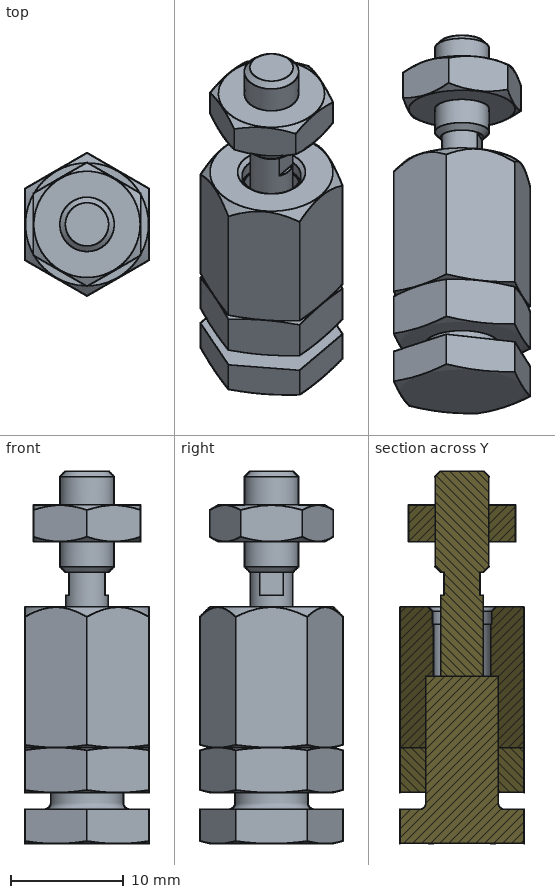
import cadquery as cq
import math


TOTAL_HEIGHT = 33.0
PLUG_HEAD_TOP = 3.07
LOCK_NUT_BOTTOM = 4.52
HOUSING_BOTTOM = 8.5
HOUSING_TOP = 21.0
FLATS_BOTTOM = 22.0
NECK_TOP = 24.02
STUD_NUT_BOTTOM = 26.73
STUD_NUT_TOP = 30.0

BODY_FLATS = 11.0
STUD_NUT_FLATS = 9.5
HEX_FLATS_TO_CORNERS = math.cos(math.pi / 6)
CHAMFER_INSET = 0.1
SHALLOW_ANGLE = 15.0
STUD_NUT_ANGLE = 30.0
HOUSING_TOP_ANGLE = 45.0

STUD_DIAMETER = 4.82
NECK_DIAMETER = 3.8
STUD_TIP_CHAMFER = 0.5
NECK_FLATS_WIDTH = 3.2

MOUTH_DIAMETER = 6.0
UPPER_BORE_DIAMETER = 5.2
LOWER_BORE_DIAMETER = 5.0
STEP_DEPTH = 1.55

PLUG_SHANK_DIAMETER = 6.47
PLUG_ROOT_RADIUS = 0.53
PLUG_TOP = 14.85


def cylinder(diameter, bottom, top):
    return cq.Workplane("XY").workplane(offset=bottom).circle(diameter / 2).extrude(top - bottom)


def corner_cutter(flats, end_level, inward, angle):
    """Ring that turns the corners of a hexagon down to a cone at one end face."""
    face_radius = (flats - CHAMFER_INSET) / 2
    outer_radius = flats
    drop = (outer_radius - face_radius) * math.tan(math.radians(angle))
    return (
        cq.Workplane("XZ")
        .moveTo(face_radius, end_level)
        .lineTo(outer_radius, end_level)
        .lineTo(outer_radius, end_level + inward * drop)
        .close()
        .revolve(360, (0, 0, 0), (0, 1, 0))
    )


def hexagon(flats, bottom, top, bottom_angle=None, top_angle=None):
    """Hexagonal prism, with its corners chamfered at the ends that are given an angle."""
    corner_diameter = flats / HEX_FLATS_TO_CORNERS
    prism = (
        cq.Workplane("XY")
        .workplane(offset=bottom)
        .transformed(rotate=(0, 0, 90))
        .polygon(6, corner_diameter)
        .extrude(top - bottom)
    )
    if bottom_angle is not None:
        prism = prism.cut(corner_cutter(flats, bottom, 1, bottom_angle))
    if top_angle is not None:
        prism = prism.cut(corner_cutter(flats, top, -1, top_angle))
    return prism


def make_plug():
    head = hexagon(BODY_FLATS, 0, PLUG_HEAD_TOP, bottom_angle=SHALLOW_ANGLE)
    shank_radius = PLUG_SHANK_DIAMETER / 2
    root_top = PLUG_HEAD_TOP + PLUG_ROOT_RADIUS
    arc_offset = PLUG_ROOT_RADIUS * (1 - math.sqrt(0.5))
    shank = (
        cq.Workplane("XZ")
        .moveTo(0, PLUG_HEAD_TOP)
        .lineTo(shank_radius + PLUG_ROOT_RADIUS, PLUG_HEAD_TOP)
        .threePointArc(
            (shank_radius + arc_offset, PLUG_HEAD_TOP + arc_offset),
            (shank_radius, root_top),
        )
        .lineTo(shank_radius, PLUG_TOP)
        .lineTo(0, PLUG_TOP)
        .close()
        .revolve(360, (0, 0, 0), (0, 1, 0))
    )
    return head.union(shank)


def make_lock_nut():
    nut = hexagon(BODY_FLATS, LOCK_NUT_BOTTOM, HOUSING_BOTTOM, SHALLOW_ANGLE, SHALLOW_ANGLE)
    return nut.cut(cylinder(PLUG_SHANK_DIAMETER, LOCK_NUT_BOTTOM, HOUSING_BOTTOM))


def make_housing():
    body = hexagon(BODY_FLATS, HOUSING_BOTTOM, HOUSING_TOP, SHALLOW_ANGLE, HOUSING_TOP_ANGLE)
    upper_bore = cylinder(UPPER_BORE_DIAMETER, HOUSING_TOP - STEP_DEPTH, HOUSING_TOP)
    lower_bore = cylinder(LOWER_BORE_DIAMETER, PLUG_TOP, HOUSING_TOP - STEP_DEPTH)
    plug_hole = cylinder(PLUG_SHANK_DIAMETER, HOUSING_BOTTOM, PLUG_TOP)
    mouth_depth = (MOUTH_DIAMETER - UPPER_BORE_DIAMETER) / 2
    mouth = cq.Workplane(
        cq.Solid.makeCone(
            UPPER_BORE_DIAMETER / 2,
            MOUTH_DIAMETER / 2,
            mouth_depth,
            pnt=cq.Vector(0, 0, HOUSING_TOP - mouth_depth),
        )
    )
    return body.cut(upper_bore).cut(lower_bore).cut(plug_hole).cut(mouth)


def make_stud():
    neck = cylinder(NECK_DIAMETER, PLUG_TOP, NECK_TOP)
    flat_cuts = (
        cylinder(NECK_DIAMETER, FLATS_BOTTOM, NECK_TOP)
        .cut(cq.Workplane("XY").box(NECK_FLATS_WIDTH, NECK_DIAMETER, 2 * NECK_TOP))
    )
    neck_chamfer = (STUD_DIAMETER - NECK_DIAMETER) / 2
    shank = (
        cylinder(STUD_DIAMETER, NECK_TOP, TOTAL_HEIGHT)
        .faces(">Z")
        .chamfer(STUD_TIP_CHAMFER)
        .faces("<Z")
        .chamfer(neck_chamfer)
    )
    return neck.cut(flat_cuts).union(shank)


def make_stud_nut():
    nut = hexagon(STUD_NUT_FLATS, STUD_NUT_BOTTOM, STUD_NUT_TOP, STUD_NUT_ANGLE, STUD_NUT_ANGLE)
    return nut.cut(cylinder(STUD_DIAMETER, STUD_NUT_BOTTOM, STUD_NUT_TOP))


plug = make_plug()
lock_nut = make_lock_nut()
housing = make_housing()
stud = make_stud()
stud_nut = make_stud_nut()

result = cq.Compound.makeCompound(
    [plug.val(), lock_nut.val(), housing.val(), stud.val(), stud_nut.val()]
)